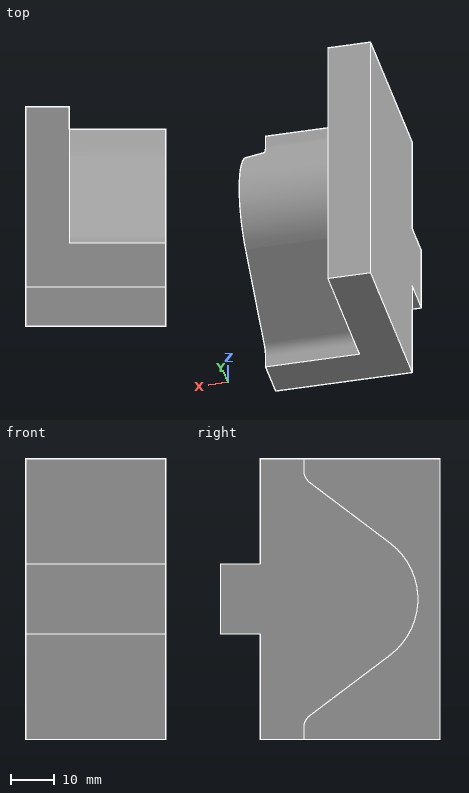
import cadquery as cq
import math

width = 32.0
height = 64.0
wall = 10.0
body_depth = 41.0

tongue_depth = 9.0
tongue_height = 16.0

nose_radius = 16.0
nose_reach = 26.0
flank_angle = math.radians(53.0)
root_radius = 3.45

mid_z = height / 2


def make_angle_body():
    """L-shaped plan: a side wall and a front wall of equal thickness."""
    side_wall = cq.Workplane("XY").box(wall, body_depth, height, centered=False)
    front_wall = cq.Workplane("XY").box(width, wall, height, centered=False)
    return side_wall.union(front_wall)


def make_tongue():
    """Bar across the full width, centred in height, projecting towards -Y."""
    return (
        cq.Workplane("XY")
        .box(width, tongue_depth, tongue_height, centered=False)
        .translate((0, -tongue_depth, mid_z - tongue_height / 2))
    )


def make_nose():
    """Round nose with tangent flanks, each blended into the front wall by a concave arc."""
    across = math.cos(flank_angle)
    along = math.sin(flank_angle)
    half_across = math.cos(flank_angle / 2)
    half_along = math.sin(flank_angle / 2)

    tip_y = wall + nose_reach
    nose_y = tip_y - nose_radius
    tangent_y = nose_y + nose_radius * across
    tangent_rise = nose_radius * along

    root_y = wall + root_radius * (1 - across)
    root_rise = tangent_rise + (tangent_y - root_y) * across / along
    wall_rise = root_rise + root_radius * along
    root_mid_y = wall + root_radius * (1 - half_across)
    root_mid_rise = wall_rise - root_radius * half_along

    profile = (
        cq.Workplane("YZ", origin=(wall, 0, 0))
        .moveTo(wall, mid_z + wall_rise)
        .threePointArc((root_mid_y, mid_z + root_mid_rise), (root_y, mid_z + root_rise))
        .lineTo(tangent_y, mid_z + tangent_rise)
        .threePointArc((tip_y, mid_z), (tangent_y, mid_z - tangent_rise))
        .lineTo(root_y, mid_z - root_rise)
        .threePointArc((root_mid_y, mid_z - root_mid_rise), (wall, mid_z - wall_rise))
        .close()
    )
    return profile.extrude(width - wall)


result = make_angle_body().union(make_tongue()).union(make_nose())